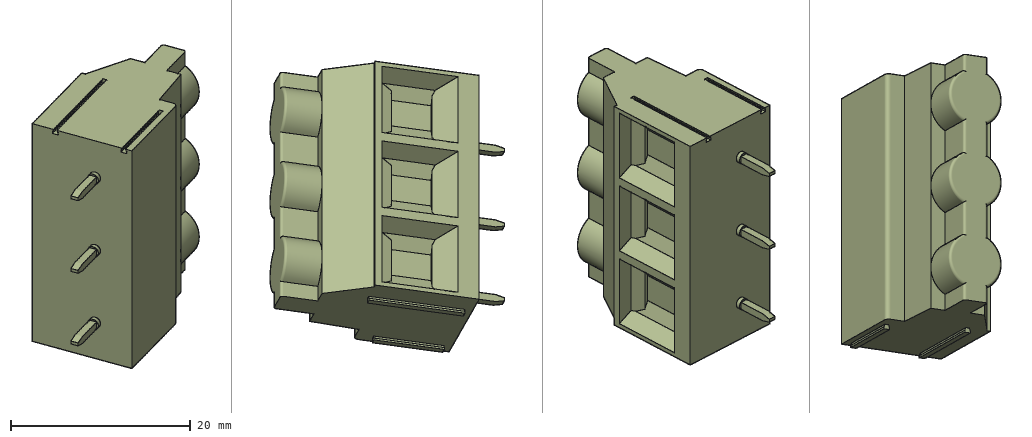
import cadquery as cq


POLES = 3
PITCH = 9.53
BODY_HEIGHT = POLES * PITCH
BODY_WIDTH = 12.5
BODY_TOP = 21.5
POLE_CENTRES = [PITCH * (index + 0.5) for index in range(POLES)]

FRONT_STEP_Y = 12.03
FRONT_STEP_WIDTH = 0.45
FRONT_SHOULDER_Y = 17.22
REAR_SHOULDER_Y = 16.85
REAR_STEP_X = 10.25
REAR_STEP_Y = 11.05
REAR_CORNER_RADIUS = 0.52

TOWER_X = 6.7
TOWER_RADIUS = 3.25
WALL_THICKNESS = 2.97
TOP_FILLET = 0.32
TOWER_FRONT_X = TOWER_X - TOWER_RADIUS
TOWER_REAR_X = TOWER_X + TOWER_RADIUS
WALL_FRONT_X = TOWER_X - WALL_THICKNESS / 2
WALL_REAR_X = TOWER_X + WALL_THICKNESS / 2

FUNNEL_DEPTH = 2.75
FUNNEL_KNEE_DEPTH = 2.0
MOUTH_HALF_HEIGHT = 4.22
KNEE_HALF_HEIGHT = 3.23
FLOOR_HALF_HEIGHT = 1.63
MOUTH_BOTTOM_Y = 2.45
MOUTH_TOP_Y = 11.22
FLOOR_BOTTOM_Y = 4.8
FLOOR_TOP_Y = 9.5
BOTTOM_RAMP_DEPTH = 2.27
LEDGE_DEPTH = 1.85
LEDGE_END_DEPTH = 2.3

RAILS = [(2.88, FRONT_STEP_Y), (11.48, 9.05)]
RIB_START_Y = 0.93
RAIL_NECK_WIDTH = 0.45
RAIL_HEAD_WIDTH = 0.7
RAIL_HEIGHT = 0.55
RAIL_TAPER_HEIGHT = 0.32

PIN_X = 7.9
PIN_WIDTH = 0.9
PIN_LENGTH = 5.0
PIN_TIP_LENGTH = 1.05
PIN_TIP_THICKNESS = 0.38
COLLAR_DIAMETER = 1.35
COLLAR_LENGTH = 0.52


def make_body():
    outline = [
        (0, 0),
        (0, FRONT_STEP_Y),
        (FRONT_STEP_WIDTH, FRONT_STEP_Y),
        (TOWER_FRONT_X, FRONT_SHOULDER_Y),
        (WALL_FRONT_X, FRONT_SHOULDER_Y),
        (WALL_FRONT_X, BODY_TOP),
        (WALL_REAR_X, BODY_TOP),
        (WALL_REAR_X, REAR_SHOULDER_Y),
        (TOWER_REAR_X, REAR_SHOULDER_Y),
        (REAR_STEP_X, REAR_STEP_Y),
        (BODY_WIDTH, REAR_STEP_Y),
        (BODY_WIDTH, 0),
    ]
    body = cq.Workplane("XY").polyline(outline).close().extrude(BODY_HEIGHT)
    rear_corner = cq.selectors.NearestToPointSelector((BODY_WIDTH, REAR_STEP_Y, BODY_HEIGHT / 2))
    body = body.edges(rear_corner).fillet(REAR_CORNER_RADIUS)
    return body.faces(">Y").edges("|Z").fillet(TOP_FILLET)


def make_tower(z):
    tower = (
        cq.Workplane("XZ", origin=(TOWER_X, REAR_SHOULDER_Y, z))
        .circle(TOWER_RADIUS)
        .extrude(REAR_SHOULDER_Y - BODY_TOP)
    )
    return tower.faces(">Y").fillet(TOP_FILLET)


def make_funnel(z):
    """Wire opening: the overlap of a tapered slot along Y and a stepped slot along Z."""
    height_profile = [
        (0, -MOUTH_HALF_HEIGHT),
        (FUNNEL_KNEE_DEPTH, -KNEE_HALF_HEIGHT),
        (FUNNEL_DEPTH, -FLOOR_HALF_HEIGHT),
        (FUNNEL_DEPTH, FLOOR_HALF_HEIGHT),
        (FUNNEL_KNEE_DEPTH, KNEE_HALF_HEIGHT),
        (0, MOUTH_HALF_HEIGHT),
    ]
    width_profile = [
        (0, MOUTH_BOTTOM_Y),
        (BOTTOM_RAMP_DEPTH, FLOOR_BOTTOM_Y),
        (FUNNEL_DEPTH, FLOOR_BOTTOM_Y),
        (FUNNEL_DEPTH, FLOOR_TOP_Y),
        (LEDGE_END_DEPTH, FLOOR_TOP_Y),
        (LEDGE_DEPTH, MOUTH_TOP_Y),
        (0, MOUTH_TOP_Y),
    ]
    along_y = cq.Workplane("XZ", origin=(0, 0, z)).polyline(height_profile).close().extrude(-MOUTH_TOP_Y)
    along_z = (
        cq.Workplane("XY", origin=(0, 0, z))
        .polyline(width_profile)
        .close()
        .extrude(MOUTH_HALF_HEIGHT, both=True)
    )
    return along_y.intersect(along_z)


def make_rail(x, z, start_y, end_y):
    """Dovetail bar along Y that hangs down from height z."""
    neck = RAIL_NECK_WIDTH / 2
    head = RAIL_HEAD_WIDTH / 2
    section = [
        (-neck, 0),
        (-head, -RAIL_TAPER_HEIGHT),
        (-head, -RAIL_HEIGHT),
        (head, -RAIL_HEIGHT),
        (head, -RAIL_TAPER_HEIGHT),
        (neck, 0),
    ]
    return cq.Workplane("XZ", origin=(x, start_y, z)).polyline(section).close().extrude(start_y - end_y)


def make_pin(z):
    """Square pin with a round collar, its tip tapered in Z only."""
    collar = cq.Workplane("XZ", origin=(PIN_X, 0, z)).circle(COLLAR_DIAMETER / 2).extrude(COLLAR_LENGTH)
    half_width = PIN_WIDTH / 2
    half_tip = PIN_TIP_THICKNESS / 2
    taper_y = PIN_TIP_LENGTH - PIN_LENGTH
    side_outline = [
        (0, -half_width),
        (taper_y, -half_width),
        (-PIN_LENGTH, -half_tip),
        (-PIN_LENGTH, half_tip),
        (taper_y, half_width),
        (0, half_width),
    ]
    blade = (
        cq.Workplane("YZ", origin=(PIN_X, 0, z))
        .polyline(side_outline)
        .close()
        .extrude(half_width, both=True)
    )
    return collar.union(blade)


result = make_body()
for pole_z in POLE_CENTRES:
    result = result.union(make_tower(pole_z)).cut(make_funnel(pole_z)).union(make_pin(pole_z))
for rail_x, rail_end_y in RAILS:
    result = result.cut(make_rail(rail_x, BODY_HEIGHT, 0, rail_end_y))
    result = result.union(make_rail(rail_x, 0, RIB_START_Y, rail_end_y))